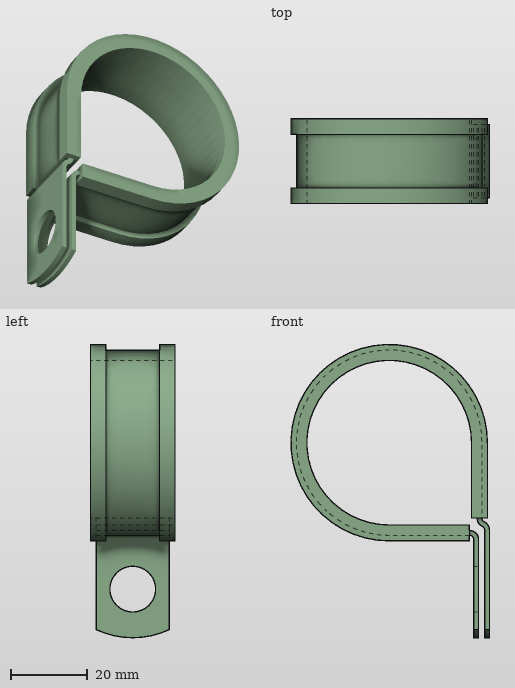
import cadquery as cq
import math

loop_outer_radius = 25.6
loop_inner_radius = 21.4
cushion_width = 22.1
vertical_leg_length = 19.65
horizontal_leg_length = 20.9

groove_width = 14.0
groove_radius = 24.2

strap_thickness = 1.3
strap_width = 19.1
strap_radius = groove_radius - strap_thickness / 2
bend_radius = 1.72

tab_gap = 1.5
outer_tab_face = 26.15
outer_tab_x = outer_tab_face - strap_thickness / 2
inner_tab_x = outer_tab_x - strap_thickness - tab_gap
tab_bottom = loop_outer_radius - 76.5
tab_end_rise = 2.15
hole_diameter = 11.85
hole_z = tab_bottom + 12.7


def loop_band(inner_radius, outer_radius, width):
    """Three-quarter ring with its two straight legs, centred on Y = 0."""
    diagonal = math.sqrt(0.5)
    return (
        cq.Workplane("XZ")
        .moveTo(horizontal_leg_length, -outer_radius)
        .lineTo(0, -outer_radius)
        .threePointArc((-outer_radius * diagonal, outer_radius * diagonal), (outer_radius, 0))
        .lineTo(outer_radius, -vertical_leg_length)
        .lineTo(inner_radius, -vertical_leg_length)
        .lineTo(inner_radius, 0)
        .threePointArc((-inner_radius * diagonal, inner_radius * diagonal), (0, -inner_radius))
        .lineTo(horizontal_leg_length, -inner_radius)
        .close()
        .extrude(width / 2, both=True)
    )


def make_cushion():
    body = loop_band(loop_inner_radius, loop_outer_radius, cushion_width)
    return body.cut(loop_band(groove_radius, loop_outer_radius, groove_width))


def make_strap():
    """Strap swept along its middle line, from the inner tab to the outer tab."""
    diagonal = math.sqrt(0.5)
    bend_x = inner_tab_x - bend_radius
    bend_z = -strap_radius - bend_radius

    jog_offset = outer_tab_x - strap_radius
    jog_height = math.sqrt(jog_offset * (4 * bend_radius - jog_offset))
    jog_bottom = -vertical_leg_length - jog_height

    path = (
        cq.Workplane("XZ")
        .moveTo(inner_tab_x, tab_bottom)
        .lineTo(inner_tab_x, bend_z)
        .threePointArc(
            (bend_x + bend_radius * diagonal, bend_z + bend_radius * diagonal),
            (bend_x, -strap_radius),
        )
        .lineTo(0, -strap_radius)
        .threePointArc((-strap_radius * diagonal, strap_radius * diagonal), (strap_radius, 0))
        .lineTo(strap_radius, -vertical_leg_length)
        .tangentArcPoint(
            (strap_radius + jog_offset / 2, -vertical_leg_length - jog_height / 2), relative=False
        )
        .tangentArcPoint((outer_tab_x, jog_bottom), relative=False)
        .lineTo(outer_tab_x, tab_bottom)
    )
    section = cq.Workplane("XY", origin=(inner_tab_x, 0, tab_bottom)).rect(strap_thickness, strap_width)
    return section.sweep(path)


def make_tab_trim():
    """Stock below the rounded tab ends, plus the bolt hole, through both tabs."""
    half_width = strap_width / 2
    shoulder_z = tab_bottom + tab_end_rise
    through = 2 * outer_tab_face
    below_end = (
        cq.Workplane("YZ")
        .moveTo(-half_width, shoulder_z)
        .threePointArc((0, tab_bottom), (half_width, shoulder_z))
        .lineTo(half_width, tab_bottom - tab_end_rise)
        .lineTo(-half_width, tab_bottom - tab_end_rise)
        .close()
        .extrude(through)
    )
    hole = cq.Workplane("YZ").center(0, hole_z).circle(hole_diameter / 2).extrude(through)
    return below_end.union(hole)


result = make_cushion().union(make_strap()).cut(make_tab_trim())